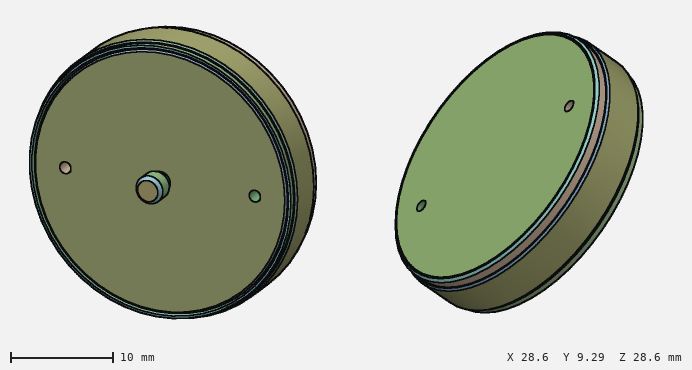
import cadquery as cq

body_depth = 6.35

ring_radius = 14.28
land_radius = 14.0
front_land_length = 0.69
back_land_length = 1.2
band_bevel_length = 0.29
band_bevel_height = 0.17
back_chamfer = 0.29

disc_radius = 13.55
joint_chamfer = 0.2
hole_spacing = 20.28
hole_radius = 0.6
neck_radius = 1.09
neck_length = 0.97
head_radius = 1.43
head_length = 1.97
tip_radius = 1.09
tip_chamfer_length = 0.43


def revolve_about_y(profile):
    """Revolve a closed list of (radius, y) points around the Y axis."""
    return cq.Workplane("XY").polyline(profile).close().revolve(360, (0, 0, 0), (0, 1, 0))


def make_ring():
    """Stepped ring with a bevelled central band and an open bore."""
    bevel_radius = ring_radius - band_bevel_height
    band_front = front_land_length
    band_back = body_depth - back_land_length
    return revolve_about_y([
        (disc_radius + joint_chamfer, 0),
        (land_radius, 0),
        (land_radius, band_front),
        (bevel_radius, band_front),
        (ring_radius, band_front + band_bevel_length),
        (ring_radius, band_back - band_bevel_length),
        (bevel_radius, band_back),
        (land_radius, band_back),
        (land_radius, body_depth - back_chamfer),
        (land_radius - back_chamfer, body_depth),
        (disc_radius, body_depth),
        (disc_radius, joint_chamfer),
    ])


def make_disc():
    """Disc filling the ring, with a headed stud in front and two through holes."""
    head_back = -neck_length
    head_front = head_back - head_length
    disc = revolve_about_y([
        (0, head_front),
        (tip_radius, head_front),
        (head_radius, head_front + tip_chamfer_length),
        (head_radius, head_back),
        (neck_radius, head_back),
        (neck_radius, 0),
        (disc_radius - joint_chamfer, 0),
        (disc_radius, joint_chamfer),
        (disc_radius, body_depth),
        (0, body_depth),
    ])
    holes = (
        cq.Workplane("XZ")
        .pushPoints([(-hole_spacing / 2, 0), (hole_spacing / 2, 0)])
        .circle(hole_radius)
        .extrude(-body_depth)
    )
    return disc.cut(holes).solids()


ring = make_ring()
disc = make_disc()

result = cq.Compound.makeCompound([ring.val(), disc.val()])